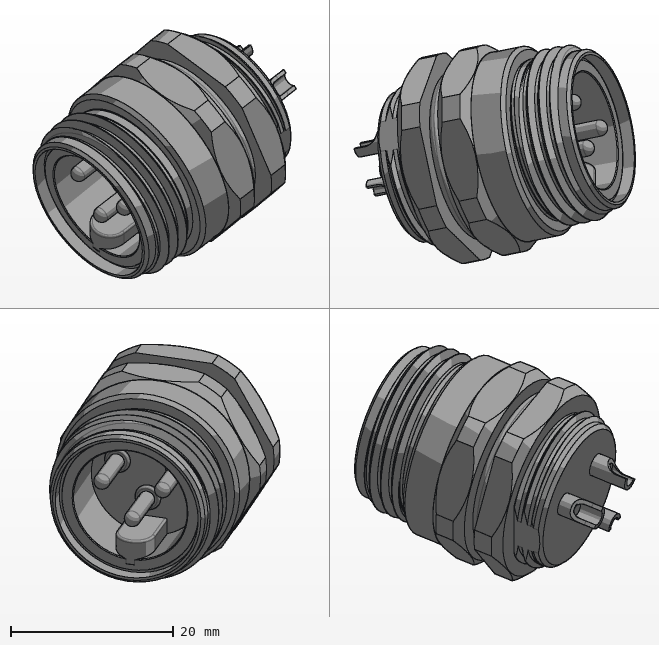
import cadquery as cq
import math


total_length = 31.5
shoulder_front = 8.0
hex_front = 12.5
hex_rear = 17.0
nut_front = 19.0
nut_rear = 22.5
shell_rear = 26.5

hex_across_flats = 24.0
hex_across_corners = 26.0
hex_chamfer = 1.05

shoulder_radius = 11.9
shoulder_chamfer = 0.5
barrel_radius = 9.5
ring_outer_radius = 10.75
ring_section_radius = 0.95

thread_flank_angle = 30.0

front_crest_radius = 11.0
front_root_radius = 10.05
front_pitch = 1.588
front_crest_at = 6.1
lip_radius = 10.02
lip_chamfer = 0.4
lip_length = 1.6
front_thread_end = 6.6
neck_radius = 10.15

rear_crest_radius = 10.2
rear_root_radius = 9.5
rear_pitch = 1.41
rear_crest_at = 24.05
rear_end_radius = 9.48
rear_end_chamfer = 0.5
rear_thread_end = 25.3
side_flat_distance = 9.25
crest_width = 0.1
groove_overshoot = 0.03

mouth_radius = 9.25
mouth_depth = 1.6
insert_radius = 8.85
insert_depth = 1.35
socket_radius = 7.37
socket_chamfer = 0.13
socket_depth = 8.7

pin_radius = 1.0
pin_tip_depth = 1.3
pin_boss_radius = 1.65
pin_boss_height = 0.5
pin_boss_fillet = 0.3
outer_pin_x = 3.95
pin_z = 2.27

cup_radius = 1.45
cup_bore_radius = 0.9
cup_bore_depth = 3.1
cup_flat_length = 1.4
cup_runout_radius = 2.02
cup_tilt = 41.0

key_width = 4.9
key_top_z = -4.85
key_fillet = 0.28
key_tip_depth = 1.3


def turned(points):
    """Solid of revolution about Y from a closed outline of (radius, y) points.

    Its seam lies on the -Z side, away from the ends of the thread grooves.
    """
    solid = cq.Workplane("XY").polyline(points).close().revolve(360, (0, 0), (0, 1))
    return solid.rotate((0, 0, 0), (0, 1, 0), 90)


def cylinder(radius, y_start, y_end, x=0.0, z=0.0):
    """Cylinder along Y."""
    base = cq.Workplane("XZ", origin=(x, y_start, z))
    return base.circle(radius).extrude(y_start - y_end)


def hexagon(y_start, y_end, front_chamfer, rear_chamfer):
    """Hexagon with flats facing +Z and -Z, its corners turned down and its ends chamfered."""
    flat_corner_diameter = hex_across_flats / math.cos(math.pi / 6)
    prism = cq.Workplane("XZ", origin=(0, y_start, 0)).polygon(6, flat_corner_diameter)
    prism = prism.extrude(y_start - y_end)
    radius = hex_across_corners / 2
    envelope = [(0, y_start), (radius - front_chamfer, y_start)]
    if front_chamfer:
        envelope.append((radius, y_start + front_chamfer))
    envelope.append((radius, y_end - rear_chamfer))
    if rear_chamfer:
        envelope.append((radius - rear_chamfer, y_end))
    envelope.append((0, y_end))
    return prism.intersect(turned(envelope))


def thread_groove(pitch, root_radius, crest_radius, start_y, turns):
    """Right-hand helical groove that starts at start_y on the +X side and runs toward -Y."""
    top_radius = crest_radius + groove_overshoot
    slope = math.tan(math.radians(thread_flank_angle))
    crest_half = (pitch - crest_width) / 2
    floor_half = crest_half - (crest_radius - root_radius) * slope
    top_half = crest_half + groove_overshoot * slope
    helix = cq.Wire.makeHelix(pitch, pitch * turns, root_radius)
    profile = cq.Workplane("XZ").polyline([
        (root_radius, -floor_half),
        (root_radius, floor_half),
        (top_radius, top_half),
        (top_radius, -top_half),
    ]).close()
    groove = profile.sweep(cq.Workplane(obj=helix), isFrenet=True)
    return groove.rotate((0, 0, 0), (1, 0, 0), 90).translate((0, start_y, 0))


def front_thread():
    runout = front_crest_radius - lip_radius
    blank = turned([
        (0, 0),
        (lip_radius - lip_chamfer, 0),
        (lip_radius, lip_chamfer),
        (lip_radius, lip_length),
        (front_crest_radius, lip_length + runout),
        (front_crest_radius, front_thread_end),
        (neck_radius, front_thread_end),
        (neck_radius, shoulder_front),
        (0, shoulder_front),
    ])
    start_y = front_crest_at + 1.5 * front_pitch
    groove = thread_groove(front_pitch, front_root_radius, front_crest_radius, start_y, 5)
    return cylinder(front_crest_radius, 0, shoulder_front).cut(groove).intersect(blank)


def rear_thread():
    runout = rear_crest_radius - rear_end_radius
    blank = turned([
        (0, nut_rear),
        (rear_crest_radius, nut_rear),
        (rear_crest_radius, rear_thread_end - runout),
        (rear_end_radius, rear_thread_end),
        (rear_end_radius, shell_rear - rear_end_chamfer),
        (rear_end_radius - rear_end_chamfer, shell_rear),
        (0, shell_rear),
    ])
    start_y = rear_crest_at + 1.5 * rear_pitch
    groove = thread_groove(rear_pitch, rear_root_radius, rear_crest_radius, start_y, 4)
    thread = cylinder(rear_crest_radius, nut_front, shell_rear).cut(groove).intersect(blank)
    between_flats = cq.Workplane("XY").box(
        2 * side_flat_distance, 2 * total_length, 2 * hex_across_flats
    )
    return thread.intersect(between_flats)


def shoulder():
    return turned([
        (0, shoulder_front),
        (shoulder_radius - shoulder_chamfer, shoulder_front),
        (shoulder_radius, shoulder_front + shoulder_chamfer),
        (shoulder_radius, hex_front),
        (0, hex_front),
    ])


def sealing_ring():
    """Round ring that rests against the nut."""
    return (
        cq.Workplane("XY")
        .center(ring_outer_radius - ring_section_radius, nut_front - ring_section_radius)
        .circle(ring_section_radius)
        .revolve(360, (-(ring_outer_radius - ring_section_radius), 0),
                 (-(ring_outer_radius - ring_section_radius), 1))
    )


def socket():
    """Cavity in front of the insert, with the gap left around the insert's rim."""
    return turned([
        (0, 0),
        (mouth_radius, 0),
        (mouth_radius, mouth_depth),
        (insert_radius, mouth_depth),
        (insert_radius, insert_depth),
        (socket_radius + socket_chamfer, insert_depth),
        (socket_radius, insert_depth + socket_chamfer),
        (socket_radius, socket_depth),
        (0, socket_depth),
    ])


def key():
    """Bar on the socket wall with a full-round front end and a rounded top edge."""
    half = key_width / 2
    bar_start = key_tip_depth + half
    bottom_z = -(socket_radius + insert_radius) / 2
    bar = (
        cq.Workplane("XY", origin=(0, 0, bottom_z))
        .moveTo(-half, socket_depth)
        .lineTo(-half, bar_start)
        .threePointArc((0, key_tip_depth), (half, bar_start))
        .lineTo(half, socket_depth)
        .close()
        .extrude(key_top_z - bottom_z)
    )
    bar = bar.edges(">Z and (not >Y)").fillet(key_fillet)
    return bar.intersect(cylinder(insert_radius, key_tip_depth, socket_depth))


def contact_pin(x, z):
    """Round-ended pin standing on a small boss on the socket floor."""
    ball_y = pin_tip_depth + pin_radius
    pin = cylinder(pin_radius, ball_y, socket_depth, x, z)
    ball = cq.Workplane("XY").sphere(pin_radius).translate((x, ball_y, z))
    boss = cylinder(pin_boss_radius, socket_depth - pin_boss_height, socket_depth, x, z)
    boss = boss.faces("<Y").edges().fillet(pin_boss_fillet)
    return pin.union(ball).union(boss)


def solder_cup(x, z, opening_angle):
    """Bored stub, half cut away; opening_angle turns the open side from +Z toward +X."""
    stub = cylinder(cup_radius, shell_rear, total_length)
    stub = stub.cut(cylinder(cup_bore_radius, total_length - cup_bore_depth, total_length))
    flat_start = total_length - cup_flat_length
    arc_centre_z = cup_runout_radius
    diagonal = cup_runout_radius * math.sqrt(0.5)
    opening = (
        cq.Workplane("YZ", origin=(-cup_radius, 0, 0))
        .moveTo(total_length, 0)
        .lineTo(flat_start, 0)
        .threePointArc((flat_start - diagonal, arc_centre_z - diagonal),
                       (flat_start - cup_runout_radius, arc_centre_z))
        .lineTo(total_length, arc_centre_z)
        .close()
        .extrude(2 * cup_radius)
    )
    stub = stub.cut(opening)
    return stub.rotate((0, 0, 0), (0, 1, 0), opening_angle).translate((x, 0, z))


shell = shoulder().union(hexagon(hex_front, hex_rear, hex_chamfer, hex_chamfer))
shell = shell.union(cylinder(barrel_radius, hex_rear, nut_front))
shell = shell.union(hexagon(nut_front, nut_rear, 0, hex_chamfer))
shell = shell.union(sealing_ring())
shell = shell.union(front_thread()).union(rear_thread())
shell = shell.cut(socket())

result = shell.union(key())
for pin_x, height, opening in [
    (-outer_pin_x, pin_z, -cup_tilt),
    (outer_pin_x, pin_z, cup_tilt),
    (0, -pin_z, 180),
]:
    result = result.union(contact_pin(pin_x, height))
    result = result.union(solder_cup(pin_x, height, opening))